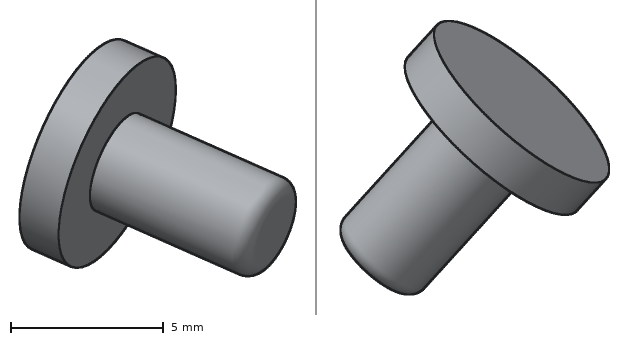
import cadquery as cq

head_diameter = 7.5
head_thickness = 1.5
shank_diameter = 3.5
overall_length = 7.5
tip_radius = 0.5

shank_length = overall_length - head_thickness


def make_head():
    """Disc head with its outer face on the YZ plane."""
    return cq.Workplane("YZ").circle(head_diameter / 2).extrude(head_thickness)


def make_shank():
    """Shank starting at the inner face of the head, with a rounded free end."""
    shank = (
        cq.Workplane("YZ", origin=(head_thickness, 0, 0))
        .circle(shank_diameter / 2)
        .extrude(shank_length)
    )
    return shank.faces(">X").edges().fillet(tip_radius)


result = make_head().union(make_shank())